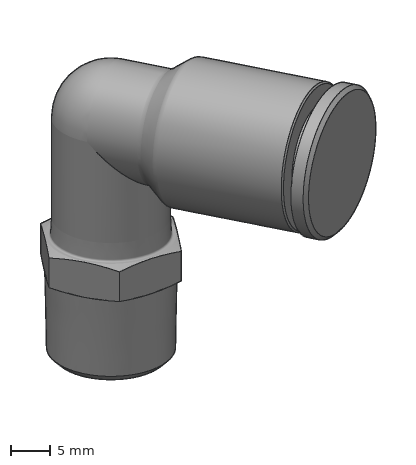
import cadquery as cq
import math

total_height = 43.7
total_reach = 32.2

thread_top_radius = 8.48
thread_tip_radius = 8.25
thread_chamfer = 1.0

hex_across_flats = 17.0
hex_bottom_z = 12.05
hex_top_z = 17.15
hex_top_ring_radius = 8.4
hex_chamfer_slope = 0.3

elbow_radius = 7.6
flare_top_z = 19.7
flare_radius = 7.75
seat_fillet = 0.3

body_radius = 9.85
cone_start_x = 7.35
cone_end_x = 10.3
cone_fillet = 1.0
body_end_x = 28.25
body_edge_chamfer = 0.2

groove_radius = 7.0
collar_start_x = 30.0
collar_width = 22.5
collar_chamfer = 0.52

hex_corner_radius = hex_across_flats / 2 / math.cos(math.pi / 6)
elbow_z = total_height - body_radius


def make_thread():
    """Slightly tapered threaded end with a chamfered tip, left plain."""
    profile = (
        cq.Workplane("XZ")
        .lineTo(thread_tip_radius - thread_chamfer, 0)
        .lineTo(thread_tip_radius, thread_chamfer)
        .lineTo(thread_top_radius, hex_bottom_z)
        .lineTo(0, hex_bottom_z)
        .close()
    )
    return profile.revolve(360, (0, 0), (0, 1))


def make_hexagon():
    """Hexagon with corners on the X axis, turned conically on both ends."""
    height = hex_top_z - hex_bottom_z
    prism = (
        cq.Workplane("XY", origin=(0, 0, hex_bottom_z))
        .polygon(6, 2 * hex_corner_radius)
        .extrude(height)
    )
    top_drop = hex_chamfer_slope * (hex_corner_radius - hex_top_ring_radius)
    bottom_rise = hex_chamfer_slope * (hex_corner_radius - thread_top_radius)
    turned_blank = (
        cq.Workplane("XZ", origin=(0, 0, hex_bottom_z))
        .lineTo(thread_top_radius, 0)
        .lineTo(hex_corner_radius, bottom_rise)
        .lineTo(hex_corner_radius, height - top_drop)
        .lineTo(hex_top_ring_radius, height)
        .lineTo(0, height)
        .close()
        .revolve(360, (0, 0), (0, 1))
    )
    return prism.intersect(turned_blank)


def make_stem():
    """Upright stem that flares slightly and meets the hexagon in a small hollow fillet."""
    arc_reach = seat_fillet * (1 - math.sqrt(0.5))
    profile = (
        cq.Workplane("XZ", origin=(0, 0, hex_top_z))
        .lineTo(flare_radius + seat_fillet, 0)
        .threePointArc(
            (flare_radius + arc_reach, arc_reach),
            (flare_radius, seat_fillet),
        )
        .lineTo(elbow_radius, flare_top_z - hex_top_z)
        .lineTo(elbow_radius, elbow_z - hex_top_z)
        .lineTo(0, elbow_z - hex_top_z)
        .close()
    )
    return profile.revolve(360, (0, 0), (0, 1))


def make_socket():
    """Horizontal neck, blended cone, socket body and the reduced groove before the collar."""
    body = (
        cq.Workplane("XZ", origin=(0, 0, elbow_z))
        .lineTo(0, elbow_radius)
        .lineTo(cone_start_x, elbow_radius)
        .lineTo(cone_end_x, body_radius)
        .lineTo(body_end_x, body_radius)
        .lineTo(body_end_x, 0)
        .close()
        .revolve(360, (0, 0), (1, 0))
    )
    body = body.faces("%CONE").edges("%CIRCLE").fillet(cone_fillet)
    body = body.faces(">X").edges().chamfer(body_edge_chamfer)
    groove = (
        cq.Workplane("YZ", origin=(body_end_x, 0, elbow_z))
        .circle(groove_radius)
        .extrude(collar_start_x - body_end_x)
    )
    return body.union(groove)


def make_collar():
    """Oval collar, wider along Y than the body, chamfered on its outer face."""
    return (
        cq.Workplane("YZ", origin=(collar_start_x, 0, elbow_z))
        .ellipse(collar_width / 2, body_radius)
        .extrude(total_reach - collar_start_x)
        .faces(">X")
        .edges()
        .chamfer(collar_chamfer)
    )


elbow = cq.Workplane("XY", origin=(0, 0, elbow_z)).sphere(elbow_radius)

result = (
    make_thread()
    .union(make_hexagon())
    .union(make_stem())
    .union(elbow)
    .union(make_socket())
    .union(make_collar())
)